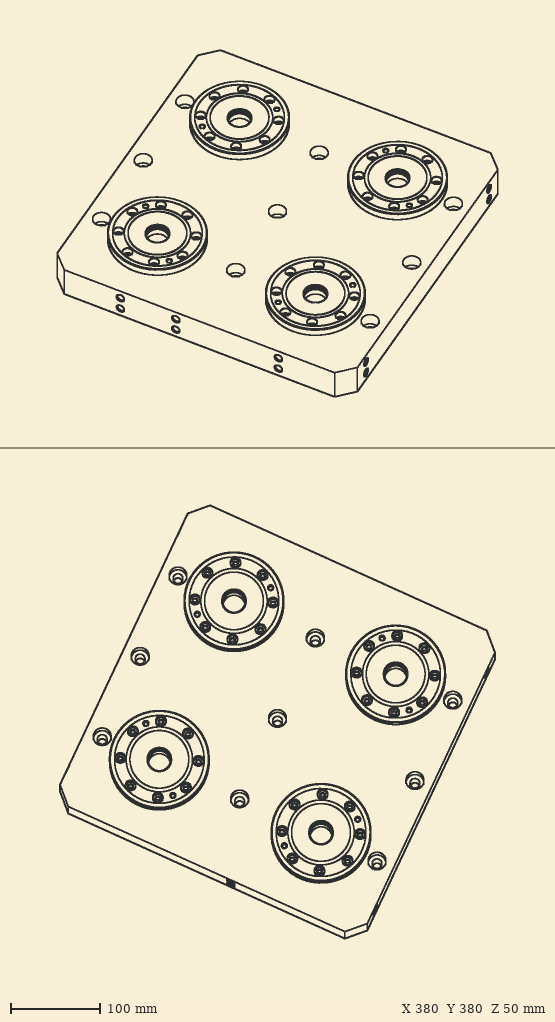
import cadquery as cq
import math

PLATE_SIZE = 380.0
PLATE_HEIGHT = 40.0
CORNER_CHAMFER = 19.0

MOUNT_DIAMETER = 11.0
MOUNT_HEAD_DIAMETER = 20.0
MOUNT_HEAD_DEPTH = 15.2
MOUNT_PITCH_X = 170.0
MOUNT_PITCH_Y = 101.5
MOUNTS_PER_SIDE = 3

PORT_DIAMETER = 8.0
PORT_CHAMFER = 1.0
PORT_HEIGHTS = (11.5, 28.5)
THROUGH_PORT_X = -30.0
THROUGH_PORT_Y = 149.7
BLIND_PORT_DEPTH = 22.8
BLIND_PORT_PILOT_DIAMETER = 3.0
BLIND_PORT_PILOT_DEPTH = 30.5

OVERALL_HEIGHT = 50.0
MODULE_COUNT = 4
MODULE_OFFSET = 100.0
FLANGE_DIAMETER = 112.0
FLANGE_TOP_CHAMFER = 0.95
FLANGE_BOTTOM_CHAMFER = 0.8
SPIGOT_DIAMETER = 77.5
SPIGOT_DEPTH = 5.0

RING_OUTER_DIAMETER = 100.7
RING_INNER_DIAMETER = 74.5
HUB_DIAMETER = 66.0
RECESS_DEPTH = 0.8

BORE_DIAMETER = 25.0
BORE_MOUTH_DIAMETER = 27.5
BORE_MOUTH_DEPTH = 1.0
BORE_GROOVE_DEPTH = 4.5
BORE_GROOVE_WIDTH = 2.3
BORE_DEPTH = 30.5

HOLE_CIRCLE_DIAMETER = 87.8
SCREW_COUNT = 8
SCREW_DIAMETER = 6.5
SCREW_HEAD_DIAMETER = 11.0
SCREW_HEAD_DEPTH = 7.5
SCREW_HEAD_CHAMFER = 0.5
SCREW_THREAD_DIAMETER = 5.5
SCREW_THREAD_DEPTH = 15.2
PIN_COUNT = 2
PIN_DIAMETER = 5.0
PIN_CHAMFER = 0.8
PIN_DEPTH = 5.7
PIN_START_ANGLE = 45

DRILL_TIP_ANGLE = 118

HALF_PLATE = PLATE_SIZE / 2
SPIGOT_BOTTOM = PLATE_HEIGHT - SPIGOT_DEPTH
RECESS_FLOOR = OVERALL_HEIGHT - RECESS_DEPTH
BORE_FLOOR = OVERALL_HEIGHT - BORE_DEPTH
SCREW_START_ANGLE = 180 / SCREW_COUNT
QUARTER_TURN = 360 / MODULE_COUNT


def cylinder(diameter, bottom, top):
    """Upright cylinder on the Z axis between two heights."""
    return cq.Workplane("XY").workplane(offset=bottom).circle(diameter / 2).extrude(top - bottom)


def downward_cone(top_diameter, bottom_diameter, top, height):
    """Cone on the Z axis that narrows downward from the height `top`."""
    cone = cq.Solid.makeCone(
        top_diameter / 2, bottom_diameter / 2, height, pnt=(0, 0, top), dir=(0, 0, -1)
    )
    return cq.Workplane(cone)


def mouth_chamfer(diameter, chamfer, top):
    """45 degree chamfer around the mouth of a hole."""
    return downward_cone(diameter + 2 * chamfer, diameter, top, chamfer)


def pointed_hole(diameter, depth, top):
    """Hole downward from the height `top`, with a drill tip below its full depth."""
    tip_height = diameter / 2 / math.tan(math.radians(DRILL_TIP_ANGLE / 2))
    tip = downward_cone(diameter, 0, top - depth, tip_height)
    return cylinder(diameter, top - depth, top).union(tip)


def turned(shape, angle):
    """The shape turned about the Z axis."""
    return shape.rotate((0, 0, 0), (0, 0, 1), angle)


def on_hole_circle(hole, count, start_angle):
    """Equally spaced copies of a hole on the hole circle of a module."""
    outward = hole.translate((HOLE_CIRCLE_DIAMETER / 2, 0, 0))
    return [turned(outward, start_angle + i * 360 / count) for i in range(count)]


def in_quarter(shape, index):
    """The shape moved from the origin to a module position and turned with its quarter."""
    return turned(shape.translate((-MODULE_OFFSET, MODULE_OFFSET, 0)), index * QUARTER_TURN)



def flange_and_spigot():
    flange = cylinder(FLANGE_DIAMETER, PLATE_HEIGHT, OVERALL_HEIGHT)
    flange = flange.faces(">Z").chamfer(FLANGE_TOP_CHAMFER)
    flange = flange.faces("<Z").chamfer(FLANGE_BOTTOM_CHAMFER)
    return flange.union(cylinder(SPIGOT_DIAMETER, SPIGOT_BOTTOM, PLATE_HEIGHT))


def top_recesses():
    ring = cylinder(RING_OUTER_DIAMETER, RECESS_FLOOR, OVERALL_HEIGHT)
    ridge = cylinder(RING_INNER_DIAMETER, RECESS_FLOOR, OVERALL_HEIGHT)
    hub = cylinder(HUB_DIAMETER, RECESS_FLOOR, OVERALL_HEIGHT)
    return ring.cut(ridge).union(hub)


def module_bore():
    mouth_bottom = RECESS_FLOOR - BORE_MOUTH_DEPTH
    chamfer = (BORE_MOUTH_DIAMETER - BORE_DIAMETER) / 2
    groove_top = RECESS_FLOOR - BORE_GROOVE_DEPTH
    bore = cylinder(BORE_DIAMETER, SPIGOT_BOTTOM, RECESS_FLOOR)
    bore = bore.union(cylinder(BORE_MOUTH_DIAMETER, mouth_bottom, RECESS_FLOOR))
    bore = bore.union(mouth_chamfer(BORE_DIAMETER, chamfer, mouth_bottom))
    return bore.union(cylinder(BORE_MOUTH_DIAMETER, groove_top - BORE_GROOVE_WIDTH, groove_top))


def screw_hole():
    hole = cylinder(SCREW_DIAMETER, SPIGOT_BOTTOM, RECESS_FLOOR)
    hole = hole.union(cylinder(SCREW_HEAD_DIAMETER, RECESS_FLOOR - SCREW_HEAD_DEPTH, RECESS_FLOOR))
    return hole.union(mouth_chamfer(SCREW_HEAD_DIAMETER, SCREW_HEAD_CHAMFER, RECESS_FLOOR))


def pin_hole():
    hole = cylinder(PIN_DIAMETER, RECESS_FLOOR - PIN_DEPTH, RECESS_FLOOR)
    return hole.union(mouth_chamfer(PIN_DIAMETER, PIN_CHAMFER, RECESS_FLOOR))


def make_module():
    body = flange_and_spigot().cut(top_recesses()).cut(module_bore())
    for hole in on_hole_circle(screw_hole(), SCREW_COUNT, SCREW_START_ANGLE):
        body = body.cut(hole)
    for hole in on_hole_circle(pin_hole(), PIN_COUNT, PIN_START_ANGLE):
        body = body.cut(hole)
    return body



def plate_blank():
    blank = cq.Workplane("XY").box(
        PLATE_SIZE, PLATE_SIZE, PLATE_HEIGHT, centered=(True, True, False)
    )
    blank = blank.edges("|Z").chamfer(CORNER_CHAMFER)
    grid = blank.faces(">Z").workplane().rarray(
        MOUNT_PITCH_X, MOUNT_PITCH_Y, MOUNTS_PER_SIDE, MOUNTS_PER_SIDE
    )
    return grid.cboreHole(MOUNT_DIAMETER, MOUNT_HEAD_DIAMETER, MOUNT_HEAD_DEPTH)


def cut_module_seats(plate):
    """Recess for each spigot, the end of its bore and the threaded holes around it."""
    seat = cylinder(SPIGOT_DIAMETER, SPIGOT_BOTTOM, PLATE_HEIGHT)
    seat = seat.union(cylinder(BORE_DIAMETER, BORE_FLOOR, SPIGOT_BOTTOM))
    thread = pointed_hole(SCREW_THREAD_DIAMETER, SCREW_THREAD_DEPTH, PLATE_HEIGHT)
    threads = on_hole_circle(thread, SCREW_COUNT, SCREW_START_ANGLE)
    for index in range(MODULE_COUNT):
        for tool in [seat, *threads]:
            plate = plate.cut(in_quarter(tool, index))
    return plate


def through_port():
    """Port along the Z axis across the whole plate, chamfered at both ends."""
    end = mouth_chamfer(PORT_DIAMETER, PORT_CHAMFER, HALF_PLATE)
    return cylinder(PORT_DIAMETER, -HALF_PLATE, HALF_PLATE).union(end).union(end.mirror("XY"))


def blind_port():
    """Port down the Z axis from one plate side, with a thin pilot hole at its tip."""
    port = pointed_hole(PORT_DIAMETER, BLIND_PORT_DEPTH, HALF_PLATE)
    port = port.union(mouth_chamfer(PORT_DIAMETER, PORT_CHAMFER, HALF_PLATE))
    return port.union(pointed_hole(BLIND_PORT_PILOT_DIAMETER, BLIND_PORT_PILOT_DEPTH, HALF_PLATE))


def cut_ports(plate):
    through_y = through_port().rotate((0, 0, 0), (1, 0, 0), 90)
    through_x = through_port().rotate((0, 0, 0), (0, 1, 0), 90)
    blind_y = blind_port().rotate((0, 0, 0), (1, 0, 0), 90)
    for height in PORT_HEIGHTS:
        plate = plate.cut(through_y.translate((THROUGH_PORT_X, 0, height)))
        for side in (-1, 1):
            plate = plate.cut(through_x.translate((0, side * THROUGH_PORT_Y, height)))
            plate = plate.cut(blind_y.translate((side * MODULE_OFFSET, 0, height)))
    return plate


plate = cut_ports(cut_module_seats(plate_blank()))
module = make_module()
modules = [in_quarter(module, index) for index in range(MODULE_COUNT)]

result = cq.Compound.makeCompound([plate.solids().val(), *[copy.solids().val() for copy in modules]])